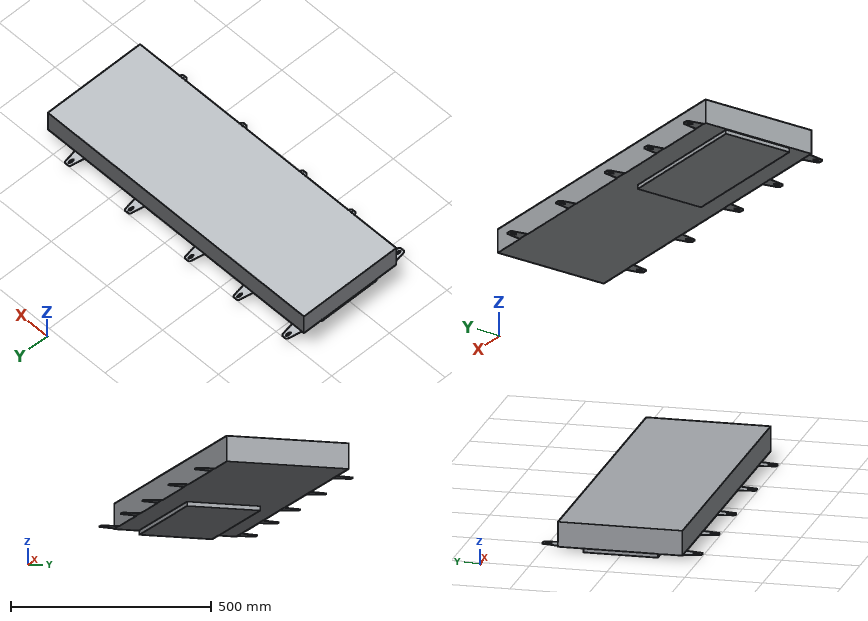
import cadquery as cq

length = 920.0
overall_width = 410.0
overall_height = 76.0

slab_width = 320.0
pad_depth = 11.0
slab_height = overall_height - pad_depth

pad_start = 4.0
pad_length = 391.0
pad_width = 191.0

lug_thickness = 1.0
lug_base_width = 35.0
lug_tip_width = 18.0
lug_tip_radius = 5.5
first_lug_x = 25.0
near_pitch = 175.0
far_pitch = 215.0
third_lug_x = first_lug_x + 2 * near_pitch
lug_positions = [
    first_lug_x,
    first_lug_x + near_pitch,
    third_lug_x,
    third_lug_x + far_pitch,
    third_lug_x + 2 * far_pitch,
]

hole_width = 5.5
hole_length = 17.0
hole_to_tip = 15.0


def make_slab():
    return cq.Workplane("XY").box(length, slab_width, slab_height, centered=(False, True, False))


def make_pad():
    pad = cq.Workplane("XY").box(pad_length, pad_width, pad_depth, centered=(False, True, False))
    return pad.translate((pad_start, 0, -pad_depth))


def make_lug():
    """Tapered lug on the +Y side at X = 0, with rounded tip corners and an elliptical hole."""
    base_y = slab_width / 2
    tip_y = overall_width / 2
    half_base = lug_base_width / 2
    half_tip = lug_tip_width / 2
    lug = (
        cq.Workplane("XY")
        .polyline([(-half_base, base_y), (half_base, base_y), (half_tip, tip_y), (-half_tip, tip_y)])
        .close()
        .extrude(lug_thickness)
        .edges("|Z and >Y")
        .fillet(lug_tip_radius)
    )
    hole = (
        cq.Workplane("XY")
        .center(0, tip_y - hole_to_tip)
        .ellipse(hole_width / 2, hole_length / 2)
        .extrude(lug_thickness)
    )
    return lug.cut(hole)


result = make_slab().union(make_pad())
lug = make_lug()
for lug_x in lug_positions:
    placed_lug = lug.translate((lug_x, 0, 0))
    result = result.union(placed_lug).union(placed_lug.mirror("XZ"))